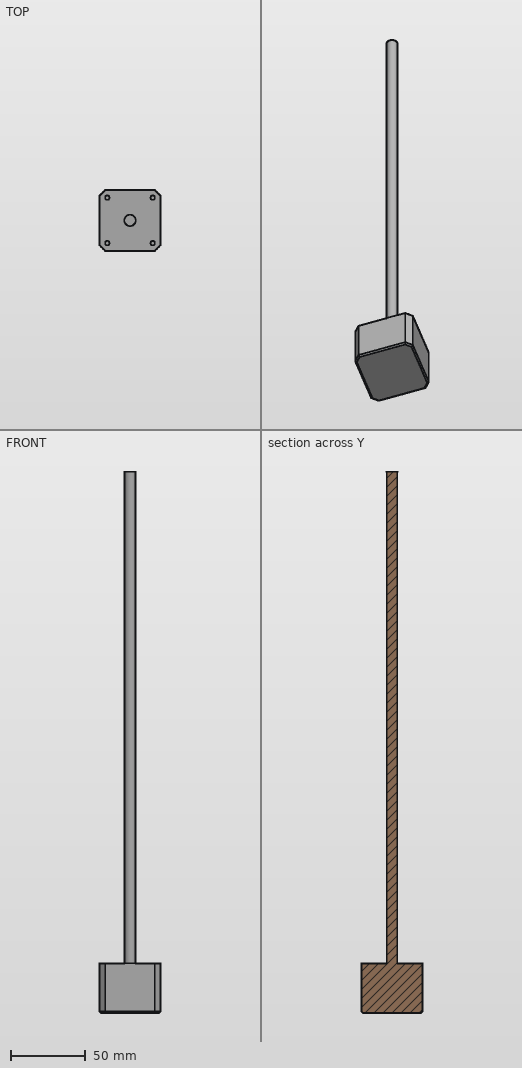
import cadquery as cq

total_height = 363.0
body_width = 41.0
body_height = 33.5
corner_chamfer = 4.0
base_chamfer = 1.0
rod_diameter = 7.5
hole_diameter = 3.0
hole_spacing = 30.5
hole_depth = 4.5


def make_body():
    """Square motor body with bevelled corners and a bevelled base edge."""
    block = cq.Workplane("XY").rect(body_width, body_width).extrude(body_height)
    block = block.edges("|Z").chamfer(corner_chamfer)
    return block.faces("<Z").edges().chamfer(base_chamfer)


def make_rod():
    """Long plain shaft rising from the centre of the top face."""
    rod_length = total_height - body_height
    top_plane = cq.Workplane("XY").workplane(offset=body_height)
    return top_plane.circle(rod_diameter / 2).extrude(rod_length)


def make_mounting_holes():
    """Four blind holes in a square pattern, sunk from the top face."""
    top_plane = cq.Workplane("XY").workplane(offset=body_height)
    centres = top_plane.rect(hole_spacing, hole_spacing, forConstruction=True).vertices()
    return centres.circle(hole_diameter / 2).extrude(-hole_depth)


result = make_body().cut(make_mounting_holes()).union(make_rod())